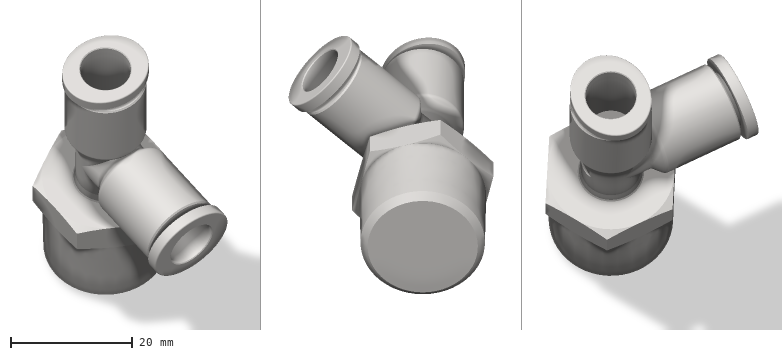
import cadquery as cq
import math

thread_length = 15.0
thread_top_radius = 10.48
thread_tip_radius = 10.27
lead_in_height = 1.2
lead_in_end_radius = 9.1

hex_across_flats = 21.0
hex_height = 5.6
hex_chamfer_drop = 0.65
hex_corner_radius = hex_across_flats / math.sqrt(3)
hex_top = thread_length + hex_height

crossing_height = 27.8
trunk_radius = 5.0
body_radius = 6.8
cone_angle = math.radians(45)
cone_start = 5.15
cone_end = cone_start + body_radius - trunk_radius
blend_radius = 1.0
body_end = 20.75
body_edge_chamfer = 0.25

foot_radius = 5.27
foot_height = 1.5
foot_bevel = 0.22

arm_length = 23.6
collar_thickness = 1.95
collar_width = 13.0
collar_length = 15.0
collar_edge_fillet = 0.2
neck_radius = 4.83

bore_radius = 4.2
bore_chamfer = 0.15
bore_bottom = cone_end + blend_radius

flat_height = 2.5
flat_distance = 4.67


def make_threaded_end():
    return (
        cq.Workplane("XZ")
        .lineTo(lead_in_end_radius, 0)
        .lineTo(thread_tip_radius, lead_in_height)
        .lineTo(thread_top_radius, thread_length)
        .lineTo(0, thread_length)
        .close()
        .revolve(360, (0, 0), (0, 1))
    )


def make_hexagon():
    prism = (
        cq.Workplane("XY", origin=(0, 0, thread_length))
        .polygon(6, 2 * hex_corner_radius)
        .extrude(hex_height)
    )
    face_radius = hex_across_flats / 2
    chamfer_envelope = (
        cq.Workplane("XZ")
        .moveTo(0, thread_length)
        .lineTo(face_radius, thread_length)
        .lineTo(hex_corner_radius, thread_length + hex_chamfer_drop)
        .lineTo(hex_corner_radius, hex_top - hex_chamfer_drop)
        .lineTo(face_radius, hex_top)
        .lineTo(0, hex_top)
        .close()
        .revolve(360, (0, 0), (0, 1))
    )
    return prism.intersect(chamfer_envelope)


def make_trunk():
    return (
        cq.Workplane("XZ")
        .moveTo(0, hex_top)
        .lineTo(foot_radius + foot_bevel, hex_top)
        .lineTo(foot_radius, hex_top + foot_bevel)
        .lineTo(trunk_radius, hex_top + foot_height)
        .lineTo(trunk_radius, crossing_height)
        .lineTo(0, crossing_height)
        .close()
        .revolve(360, (0, 0), (0, 1))
    )


def make_arm():
    """Tube arm along +Z, starting at the origin."""
    tangent_length = blend_radius * math.tan(cone_angle / 2)
    tangent_leg = tangent_length * math.sin(cone_angle)
    body = (
        cq.Workplane("XZ")
        .lineTo(trunk_radius, 0)
        .lineTo(trunk_radius, cone_start - tangent_length)
        .tangentArcPoint((trunk_radius + tangent_leg, cone_start + tangent_leg), relative=False)
        .lineTo(body_radius - tangent_leg, cone_end - tangent_leg)
        .tangentArcPoint((body_radius, cone_end + tangent_length), relative=False)
        .lineTo(body_radius, body_end - body_edge_chamfer)
        .lineTo(body_radius - body_edge_chamfer, body_end)
        .lineTo(0, body_end)
        .close()
        .revolve(360, (0, 0), (0, 1))
    )
    neck = (
        cq.Workplane("XY", origin=(0, 0, body_end))
        .circle(neck_radius)
        .extrude(arm_length - body_end)
    )
    collar = (
        cq.Workplane("XY", origin=(0, 0, arm_length - collar_thickness))
        .ellipse(collar_width / 2, collar_length / 2)
        .extrude(collar_thickness)
        .faces(">Z")
        .edges()
        .fillet(collar_edge_fillet)
    )
    bore = (
        cq.Workplane("XZ")
        .moveTo(0, bore_bottom)
        .lineTo(bore_radius, bore_bottom)
        .lineTo(bore_radius, arm_length - bore_chamfer)
        .lineTo(bore_radius + bore_chamfer, arm_length)
        .lineTo(0, arm_length)
        .close()
        .revolve(360, (0, 0), (0, 1))
    )
    return body.union(neck).union(collar).cut(bore)


def make_flat_cutter():
    """Cutter for the flat on the -X side, with end walls sloping outward at 45 degrees."""
    depth = trunk_radius - flat_distance
    half_bottom = flat_height / 2
    half_mouth = half_bottom + depth
    return (
        cq.Workplane("XZ", origin=(0, 0, crossing_height))
        .moveTo(-flat_distance, -half_bottom)
        .lineTo(-flat_distance, half_bottom)
        .lineTo(-trunk_radius, half_mouth)
        .lineTo(-trunk_radius, -half_mouth)
        .close()
        .extrude(trunk_radius, both=True)
    )


crossing = (0, 0, crossing_height)
upright_arm = make_arm().translate(crossing)
branch_arm = make_arm().rotate((0, 0, 0), (0, 1, 0), 90).translate(crossing)

result = (
    make_threaded_end()
    .union(make_hexagon())
    .union(make_trunk().union(upright_arm))
    .union(branch_arm)
    .cut(make_flat_cutter())
)